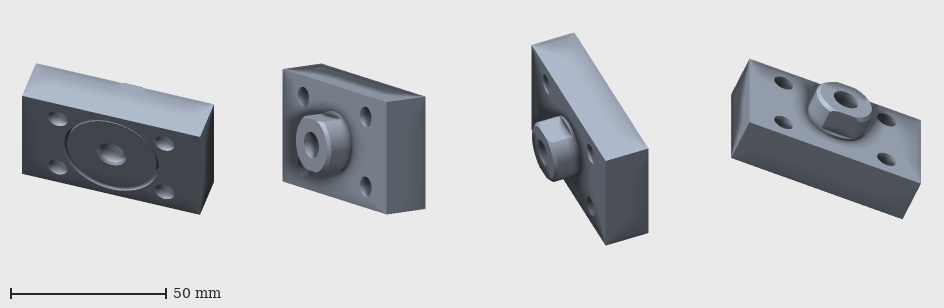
import cadquery as cq

plate_width = 60.0
plate_depth = 15.0
plate_height = 37.0

mount_hole_diameter = 6.6
mount_spacing_x = 36.0
mount_spacing_z = 23.0

groove_diameter = 32.0
pad_diameter = 30.0
pad_recess = 0.5
groove_depth = 6.0

boss_diameter = 20.0
boss_length = 9.0
boss_chamfer = 1.0
collar_length = 0.95
across_flats = 17.0

bore_diameter = 8.65
bore_mouth_diameter = 10.0
bore_chamfer = (bore_mouth_diameter - bore_diameter) / 2

total_depth = plate_depth + boss_length


def cone_frustum(start_diameter, end_diameter, start_y, length):
    """Solid of revolution about Y whose diameter changes evenly along +Y."""
    return cq.Workplane(cq.Solid.makeCone(
        start_diameter / 2, end_diameter / 2, length,
        cq.Vector(0, start_y, 0), cq.Vector(0, 1, 0)))


def cylinder(diameter, start_y, length):
    """Cylinder about Y running towards +Y."""
    return cq.Workplane(cq.Solid.makeCylinder(
        diameter / 2, length, cq.Vector(0, start_y, 0), cq.Vector(0, 1, 0)))


def make_plate():
    plate = cq.Workplane("XY").box(
        plate_width, plate_depth, plate_height, centered=(True, False, True))
    mount_holes = (
        cq.Workplane("XZ")
        .rarray(mount_spacing_x, mount_spacing_z, 2, 2)
        .circle(mount_hole_diameter / 2)
        .extrude(-plate_depth)
    )
    return plate.cut(mount_holes)


def make_boss():
    collar = cylinder(boss_diameter, plate_depth, collar_length)
    shank = (
        cylinder(boss_diameter, plate_depth, boss_length)
        .faces(">Y")
        .chamfer(boss_chamfer)
    )
    flats_envelope = (
        cq.Workplane("XY")
        .box(boss_diameter, boss_length, across_flats, centered=(True, False, True))
        .translate((0, plate_depth, 0))
    )
    return shank.intersect(flats_envelope).union(collar)


def make_ring_groove():
    pad = cylinder(pad_diameter, pad_recess, groove_depth - pad_recess)
    return cylinder(groove_diameter, 0, groove_depth).cut(pad)


def make_bore():
    mouth = cone_frustum(bore_mouth_diameter, bore_diameter, pad_recess, bore_chamfer)
    return cylinder(bore_diameter, 0, total_depth).union(mouth)


result = make_plate().union(make_boss()).cut(make_ring_groove()).cut(make_bore())